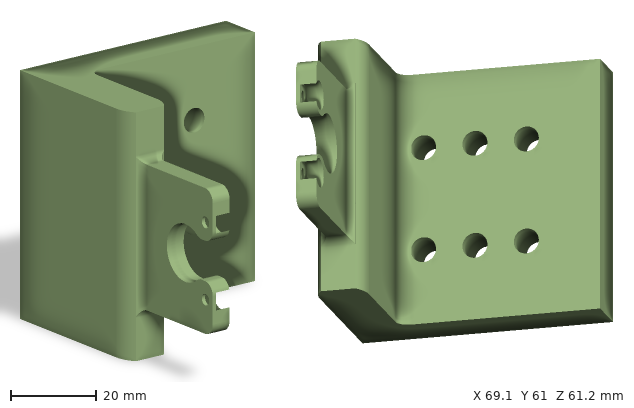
import cadquery as cq
import math

length = 69.1
depth = 60.95
height = 61.2

wall_thickness = 11.0
arm_thickness = 12.0
arm_length = 41.9
inner_corner_radius = 3.0
nose_radius = 8.0
nose_length = 5.1

plate_thickness = 5.0
plate_height = 35.85
plate_corner_radius = 3.0
neck_radius = 2.0
plate_overlap = 1.4

slot_circle_radius = 7.1
slot_circle_x = 58.7
slot_half_width = 5.0
lip_radius = 3.0

pin_hole_diameter = 2.8
pin_hole_end_distance = 2.75
pin_hole_x = length - pin_hole_end_distance
pin_hole_spacing = 19.0
pin_counterbore_diameter = 7.0
pin_counterbore_depth = 4.0
wall_hole_diameter = 6.1
wall_hole_pitch = 12.5
wall_hole_row_spacing = 2 * wall_hole_pitch

mid_y = arm_thickness / 2
mid_z = height / 2
plate_back_y = mid_y + plate_thickness / 2


def nose_drop(distance):
    """Fall of a nose arc below the arm's side, at a distance from the arc's start."""
    return nose_radius - math.sqrt(nose_radius**2 - distance**2)


def make_body():
    """L profile in XY whose arm ends in two shallow arcs and a flat."""
    arc_start_x = arm_length - nose_length

    middle_x = arc_start_x + nose_length / 2
    middle_drop = nose_drop(nose_length / 2)
    end_drop = nose_drop(nose_length)
    body = (
        cq.Workplane("XY")
        .moveTo(0, 0)
        .lineTo(arc_start_x, 0)
        .threePointArc((middle_x, middle_drop), (arm_length, end_drop))
        .lineTo(arm_length, arm_thickness - end_drop)
        .threePointArc((middle_x, arm_thickness - middle_drop), (arc_start_x, arm_thickness))
        .lineTo(wall_thickness, arm_thickness)
        .lineTo(wall_thickness, depth)
        .lineTo(0, depth)
        .close()
        .extrude(height)
    )
    inner_corner = cq.selectors.NearestToPointSelector((wall_thickness, arm_thickness, mid_z))
    return body.edges(inner_corner).fillet(inner_corner_radius)


def make_plate():
    """Rectangular plate reaching slightly into the arm, with rounded outer corners."""
    start_x = arm_length - plate_overlap
    plate = cq.Workplane("XY").box(length - start_x, plate_thickness, plate_height)
    plate = plate.translate(((start_x + length) / 2, mid_y, mid_z))
    return plate.edges("|Y and >X").fillet(plate_corner_radius)


def make_neck():
    """Concave flare of the plate into the arm's end, limited to the end face."""
    end_x = arm_length + neck_radius
    arc_offset = neck_radius * (1 - math.sqrt(0.5))

    def flare(plane, half_width, half_span):
        """Flared strip drawn in the plane of X and the spreading direction."""
        root = half_width + neck_radius
        middle = half_width + arc_offset
        return (
            cq.Workplane(plane)
            .moveTo(arm_length, -root)
            .threePointArc((arm_length + arc_offset, -middle), (end_x, -half_width))
            .lineTo(end_x, half_width)
            .threePointArc((arm_length + arc_offset, middle), (arm_length, root))
            .close()
            .extrude(half_span, both=True)
        )

    half_span_y = mid_y - nose_drop(nose_length)
    half_span_z = plate_height / 2 + neck_radius
    flare_y = flare("XY", plate_thickness / 2, half_span_z)
    flare_z = flare("XZ", plate_height / 2, half_span_y)
    return flare_y.intersect(flare_z).translate((0, mid_y, mid_z))


def make_slot():
    """Keyhole cutter: a circle blended by convex lips into a slot flaring at the free end."""
    lip_rise = slot_half_width + lip_radius
    centre_distance = slot_circle_radius + lip_radius
    lip_run = math.sqrt(centre_distance**2 - lip_rise**2)
    touch_x = slot_circle_x + slot_circle_radius * lip_run / centre_distance
    touch_z = slot_circle_radius * lip_rise / centre_distance
    lip_x = slot_circle_x + lip_run

    lip_angle = (math.atan2(lip_rise, lip_run) + math.pi / 2) / 2
    lip_middle_x = lip_x - lip_radius * math.cos(lip_angle)
    lip_middle_z = lip_rise - lip_radius * math.sin(lip_angle)

    round_x = length - plate_corner_radius
    round_z = slot_half_width + plate_corner_radius
    round_middle = plate_corner_radius * math.sqrt(0.5)

    return (
        cq.Workplane("XZ", origin=(0, plate_back_y, mid_z))
        .moveTo(touch_x, touch_z)
        .threePointArc((slot_circle_x - slot_circle_radius, 0), (touch_x, -touch_z))
        .threePointArc((lip_middle_x, -lip_middle_z), (lip_x, -slot_half_width))
        .lineTo(round_x, -slot_half_width)
        .threePointArc((round_x + round_middle, -round_z + round_middle), (length, -round_z))
        .lineTo(length, round_z)
        .threePointArc((round_x + round_middle, round_z - round_middle), (round_x, slot_half_width))
        .lineTo(lip_x, slot_half_width)
        .threePointArc((lip_middle_x, lip_middle_z), (touch_x, touch_z))
        .close()
        .extrude(plate_thickness)
    )


def make_pin_holes():
    """Stepped through hole in each prong; the wide part opens at the back and breaks the free end."""
    centres = cq.Workplane("XZ", origin=(pin_hole_x, plate_back_y, mid_z)).rarray(0.7, pin_hole_spacing, 1, 2)
    bores = centres.circle(pin_hole_diameter / 2).extrude(plate_thickness)
    counterbores = centres.circle(pin_counterbore_diameter / 2).extrude(pin_counterbore_depth)
    return bores.union(counterbores)


def make_wall_holes():
    """Two rows of three through holes, centred on the wall."""
    return (
        cq.Workplane("YZ", origin=(0, depth / 2, mid_z))
        .rarray(wall_hole_pitch, wall_hole_row_spacing, 3, 2)
        .circle(wall_hole_diameter / 2)
        .extrude(wall_thickness)
    )


result = make_body().union(make_plate()).union(make_neck())
result = result.cut(make_slot()).cut(make_pin_holes()).cut(make_wall_holes())